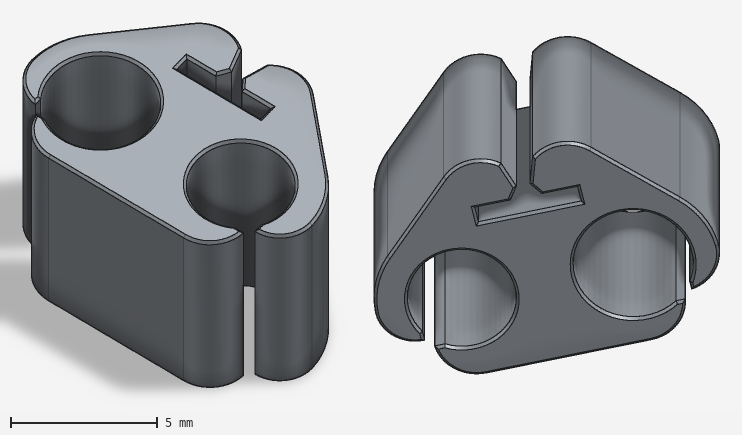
import cadquery as cq
import math

width = 11.99
depth = 8.09
height = 8.0
edge_chamfer = 0.1

bore_x = 3.0
bore_y = 3.0
left_bore_radius = 2.05
right_bore_radius = 1.86
left_opening_offset = 1.73
right_opening_offset = 1.6

shoulder_radius = width / 2 - bore_x
left_jaw_radius = 1.5
jaw_y = 3.07
right_jaw_radius = 1.38
foot_radius = 1.5
left_foot_x = 2.95
right_foot_x = 2.82
lobe_radius = 1.5

slot_half_width = 1.8
slot_floor_y = 5.72
slot_roof_y = 6.3
mouth_half_width = 0.55
throat_half_width = 0.24
throat_y = 6.76

diagonal = math.sqrt(0.5)
flank_intercept = bore_x + bore_y + shoulder_radius / diagonal
lobe_y = depth - lobe_radius
lobe_x = flank_intercept - lobe_radius / diagonal - lobe_y


def on_circle(centre, radius, degrees):
    angle = math.radians(degrees)
    return (centre[0] + radius * math.cos(angle), centre[1] + radius * math.sin(angle))


def leg(radius, offset):
    """Other leg of the right triangle with this hypotenuse and one leg."""
    return math.sqrt(radius**2 - offset**2)


def half_outline(bore_radius, opening_offset, jaw_radius, foot_x):
    """Right-hand half of the profile, closed along the line x = 0."""
    bore = (bore_x, bore_y)
    lobe = (lobe_x, lobe_y)
    jaw = (width / 2 - jaw_radius, jaw_y)
    foot = (foot_x, foot_radius)
    opening_x = bore_x + opening_offset
    opening_y = bore_y - opening_offset
    opening_depth = leg(bore_radius, opening_offset)
    jaw_tip = (opening_x, jaw[1] - leg(jaw_radius, opening_x - jaw[0]))
    jaw_angle = math.degrees(math.atan2(jaw_tip[1] - jaw[1], jaw_tip[0] - jaw[0]))
    foot_tip = (foot[0] + leg(foot_radius, opening_y - foot[1]), opening_y)
    foot_angle = math.degrees(math.atan2(foot_tip[1] - foot[1], foot_tip[0] - foot[0]))
    mouth_top_y = lobe_y + leg(lobe_radius, lobe_x - mouth_half_width)
    return (
        cq.Workplane("XY")
        .moveTo(0, 0)
        .lineTo(foot_x, 0)
        .threePointArc(on_circle(foot, foot_radius, (foot_angle - 90) / 2), foot_tip)
        .lineTo(bore_x + opening_depth, opening_y)
        .threePointArc(
            on_circle(bore, bore_radius, 135),
            (opening_x, bore_y - opening_depth),
        )
        .lineTo(*jaw_tip)
        .threePointArc(on_circle(jaw, jaw_radius, jaw_angle / 2), (width / 2, jaw_y))
        .threePointArc(
            on_circle(bore, shoulder_radius, 22.5),
            on_circle(bore, shoulder_radius, 45),
        )
        .lineTo(*on_circle(lobe, lobe_radius, 45))
        .threePointArc(on_circle(lobe, lobe_radius, 90), (mouth_half_width, mouth_top_y))
        .lineTo(throat_half_width, throat_y)
        .lineTo(mouth_half_width, slot_roof_y)
        .lineTo(slot_half_width, slot_roof_y)
        .lineTo(slot_half_width, slot_floor_y)
        .lineTo(0, slot_floor_y)
        .close()
    )


right_half = half_outline(
    right_bore_radius, right_opening_offset, right_jaw_radius, right_foot_x
).extrude(height)
left_half = (
    half_outline(left_bore_radius, left_opening_offset, left_jaw_radius, left_foot_x)
    .extrude(height)
    .mirror("YZ")
)

body = right_half.union(left_half).clean()
result = body.faces("<Z or >Z").edges().chamfer(edge_chamfer)